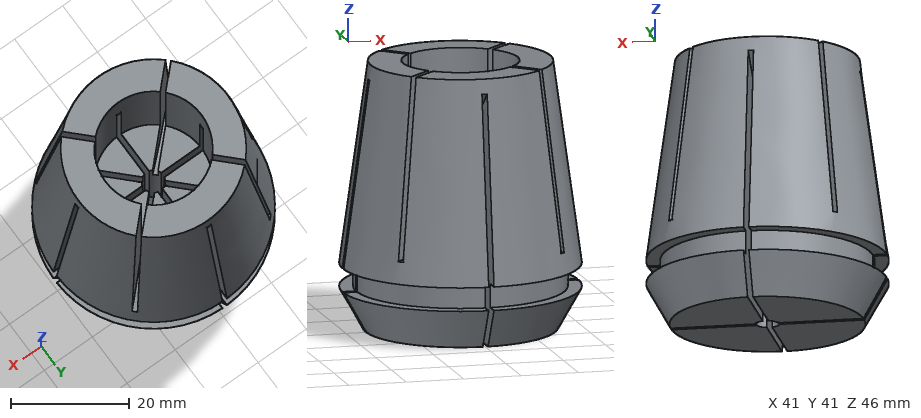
import cadquery as cq
import math

height = 46.0
max_radius = 20.495
nose_radius = 16.5
top_radius = 15.65
groove_radius = 18.12
groove_bottom = 7.1
groove_top = 11.15
small_bore_radius = 2.0
large_bore_radius = 10.0
large_bore_floor = 25.75

slot_width = 0.9
slot_overrun = 4.6

lower_slot_bore_height = 38.75
lower_slot_outer_height = 43.45

upper_slot_outer_height = 14.9
blade_radius = 24.0


def cone_radius(z):
    """Outer radius of the long taper at height z."""
    slope = (max_radius - top_radius) / (height - groove_top)
    return top_radius + slope * (height - z)


def make_body():
    profile = [
        (small_bore_radius, 0),
        (nose_radius, 0),
        (max_radius, groove_bottom),
        (groove_radius, groove_bottom),
        (groove_radius, groove_top),
        (max_radius, groove_top),
        (top_radius, height),
        (large_bore_radius, height),
        (large_bore_radius, large_bore_floor),
        (small_bore_radius, large_bore_floor),
    ]
    return cq.Workplane("XZ").polyline(profile).close().revolve(360, (0, 0), (0, 1))


def lower_slot():
    outer_radius = cone_radius(lower_slot_outer_height)
    roof_slope = (lower_slot_outer_height - lower_slot_bore_height) / (outer_radius - large_bore_radius)
    end_radius = max_radius + slot_overrun
    end_height = lower_slot_outer_height + roof_slope * (end_radius - outer_radius)
    return (
        cq.Workplane("XZ")
        .moveTo(0, -slot_overrun)
        .lineTo(end_radius, -slot_overrun)
        .lineTo(end_radius, end_height)
        .lineTo(large_bore_radius, lower_slot_bore_height)
        .lineTo(0, lower_slot_bore_height)
        .close()
        .extrude(slot_width / 2, both=True)
    )


def upper_slot():
    blade_x = cone_radius(upper_slot_outer_height)
    blade_z = upper_slot_outer_height + blade_radius

    def arc_point(x):
        return (x, blade_z - math.sqrt(blade_radius**2 - (x - blade_x) ** 2))

    end_radius = blade_x + slot_overrun
    end_height = height + slot_overrun
    return (
        cq.Workplane("XZ")
        .moveTo(0, end_height)
        .lineTo(*arc_point(0))
        .threePointArc(arc_point(blade_x / 2), (blade_x, upper_slot_outer_height))
        .lineTo(end_radius, upper_slot_outer_height)
        .lineTo(end_radius, end_height)
        .close()
        .extrude(slot_width / 2, both=True)
    )


result = make_body()
for quarter_turn in range(4):
    angle = 90 * quarter_turn
    result = result.cut(lower_slot().rotate((0, 0, 0), (0, 0, 1), angle))
    result = result.cut(upper_slot().rotate((0, 0, 0), (0, 0, 1), angle + 45))